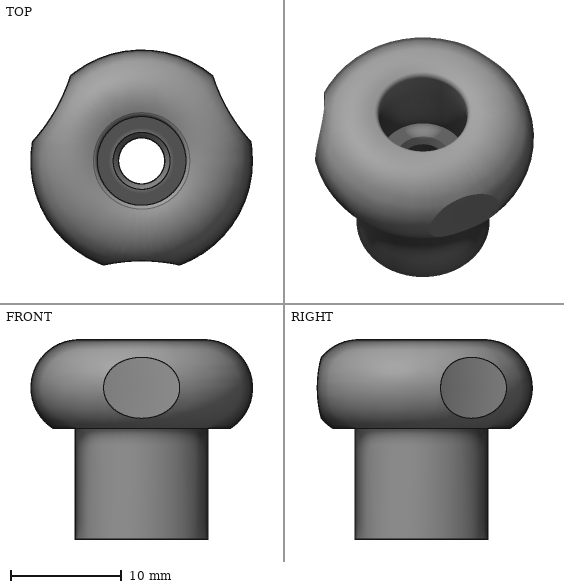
import cadquery as cq
import math

head_radius = 10.0
head_height = 8.0
shank_radius = 6.0
shank_height = 10.0
total_height = shank_height + head_height

rim_radius = 4.34
rim_center_radius = head_radius - rim_radius
rim_center_z = total_height - rim_radius

bore_radius = 4.0
bore_floor_z = 10.0
bore_lip_fillet = 0.5
hole_diameter = 4.14
hole_chamfer = 0.5

grip_count = 3
grip_cut_radius = 16.0
grip_distance = 9.02
first_grip_angle = -90.0


def make_body():
    """Revolve the shank and the rounded head, with the top dipping into the bore through a lip fillet."""
    drop = rim_center_z - shank_height
    head_base_radius = rim_center_radius + math.sqrt(rim_radius**2 - drop**2)

    lip_center_radius = bore_radius + bore_lip_fillet
    lip_offset = rim_center_radius - lip_center_radius
    center_spacing = rim_radius - bore_lip_fillet
    lip_center_z = rim_center_z + math.sqrt(center_spacing**2 - lip_offset**2)
    lip_top_angle = math.acos(-lip_offset / center_spacing)

    def lip_point(angle):
        return (
            lip_center_radius + bore_lip_fillet * math.cos(angle),
            lip_center_z + bore_lip_fillet * math.sin(angle),
        )

    lip_top = lip_point(lip_top_angle)
    lip_middle = lip_point((lip_top_angle + math.pi) / 2)
    lip_bottom = lip_point(math.pi)
    profile = (
        cq.Workplane("XZ")
        .lineTo(shank_radius, 0)
        .lineTo(shank_radius, shank_height)
        .lineTo(head_base_radius, shank_height)
        .threePointArc((head_radius, rim_center_z), lip_top)
        .threePointArc(lip_middle, lip_bottom)
        .lineTo(bore_radius, bore_floor_z)
        .lineTo(0, bore_floor_z)
        .close()
    )
    return profile.revolve(360, (0, 0, 0), (0, 1, 0))


def cut_hole(body):
    """Through hole, chamfered where it meets the bore floor."""
    hole_radius = hole_diameter / 2
    cutter = (
        cq.Workplane("XZ")
        .lineTo(hole_radius, 0)
        .lineTo(hole_radius, bore_floor_z - hole_chamfer)
        .lineTo(hole_radius + hole_chamfer, bore_floor_z)
        .lineTo(0, bore_floor_z)
        .close()
        .revolve(360, (0, 0, 0), (0, 1, 0))
    )
    return body.cut(cutter)


def cut_grips(body):
    """Scoop the head with large vertical cylinders spaced evenly around it."""
    cutter_distance = grip_distance + grip_cut_radius
    for index in range(grip_count):
        angle = math.radians(first_grip_angle + index * 360 / grip_count)
        cutter = (
            cq.Workplane("XY", origin=(0, 0, shank_height))
            .center(cutter_distance * math.cos(angle), cutter_distance * math.sin(angle))
            .circle(grip_cut_radius)
            .extrude(head_height)
        )
        body = body.cut(cutter)
    return body


result = cut_grips(cut_hole(make_body()))